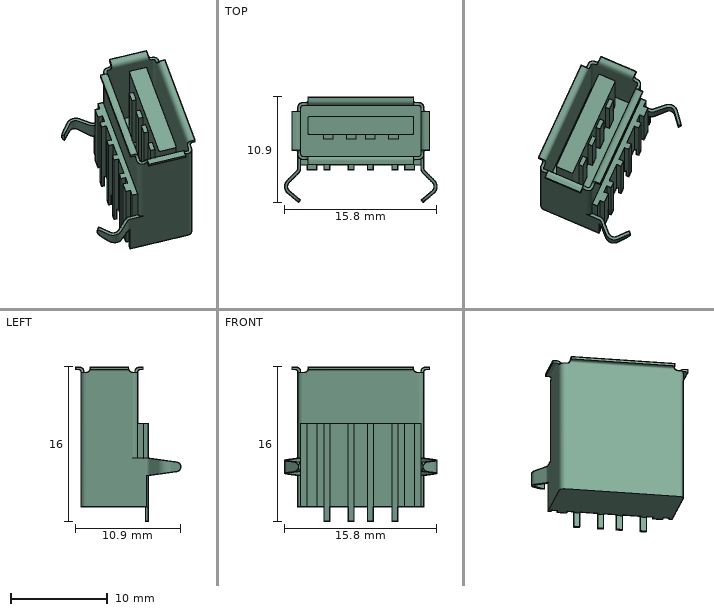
import cadquery as cq
import math


TOP_Z = 16.0
SHELL_TOP_Z = 15.45
BOTTOM_Z = 1.5
FRONT_WALL_END_Z = 6.58
INSULATOR_TOP_Z = 10.16
FLOOR_Z = FRONT_WALL_END_Z
TONGUE_TOP_Z = SHELL_TOP_Z
CONTACT_TOP_Z = 13.84

SHELL_X = 13.09
SHELL_Y = 5.9
SHEET = 0.32
CORNER_R = 0.55
SIDE_FRONT_Y = -3.85

LIP_FRONT_WIDTH = 10.91
LIP_SIDE_WIDTH = 4.0
LIP_FRONT_REACH = 0.55
LIP_SIDE_REACH = 0.6
LIP_BEND_R = 0.48
LIP_SHEET = 0.27
LIP_ROOT_R = 0.42

INSULATOR_FRONT_Y = -3.54
RIB_FRONT_Y = -4.03
PAD_INNER_X = 4.55
PAD_OUTER_X = 5.57

TONGUE_X = 10.91
TONGUE_BACK_Y = 1.49
TONGUE_FRONT_Y = -0.38
TONGUE_EDGE_R = 0.13
CONTACT_XS = (-3.4, -1.0, 1.0, 3.4)
CONTACT_WIDTH = 1.0
CONTACT_DEPTH = 0.46
PIN_XS = (-3.52, -1.0, 1.0, 3.52)
PIN_WIDTH = 0.62
PIN_DEPTH = 0.3

HOOK_Z = 5.66
HOOK_ROOT_HALF = FRONT_WALL_END_Z - HOOK_Z
HOOK_TIP_HALF = 0.51
HOOK_BEND_Y = -4.03
HOOK_TIP_Y = -7.4
HOOK_KNEE_X = 7.9
HOOK_KNEE_R = 0.91
HOOK_ROOT_R = 0.42
HOOK_LEAN = math.radians(45)
HOOK_TAIL_ANGLE = math.radians(40)

INNER_X = SHELL_X - 2 * SHEET
INNER_Y = SHELL_Y - 2 * SHEET
INNER_R = CORNER_R - SHEET


def block(x0, x1, y0, y1, z0, z1):
    """Box between two opposite corners."""
    return cq.Workplane("XY").box(x1 - x0, y1 - y0, z1 - z0, centered=False).translate((x0, y0, z0))


def rounded_column(size_x, size_y, radius, z0, z1):
    """Centred upright column with rounded corners."""
    column = cq.Workplane("XY").workplane(offset=z0).rect(size_x, size_y).extrude(z1 - z0)
    return column.edges("|Z").fillet(radius)


def make_shell():
    """Rounded tube whose lower part has an open front and straight side walls."""
    tube = rounded_column(SHELL_X, SHELL_Y, CORNER_R, BOTTOM_Z, SHELL_TOP_Z)
    lower_front = block(-SHELL_X / 2, SHELL_X / 2, -SHELL_Y / 2, 0, BOTTOM_Z, FRONT_WALL_END_Z)
    shell = tube.cut(lower_front)
    shell = shell.cut(rounded_column(INNER_X, INNER_Y, INNER_R, BOTTOM_Z, SHELL_TOP_Z))
    for x0 in (-SHELL_X / 2, INNER_X / 2):
        shell = shell.union(block(x0, x0 + SHEET, SIDE_FRONT_Y, 0, BOTTOM_Z, FRONT_WALL_END_Z))
    return shell


def make_lip(wall, reach, width):
    """Lip flared towards -Y from a wall whose outer face is at y = -wall."""
    inner = -(wall - SHEET)
    outer_r = LIP_BEND_R - LIP_SHEET
    root_z = TOP_Z - LIP_BEND_R
    diagonal = math.sqrt(0.5)
    centre_y = inner - LIP_BEND_R
    outer_centre_y = -wall - outer_r
    lip = (
        cq.Workplane("YZ")
        .moveTo(inner, SHELL_TOP_Z)
        .lineTo(inner, root_z)
        .threePointArc(
            (centre_y + LIP_BEND_R * diagonal, root_z + LIP_BEND_R * diagonal),
            (centre_y, TOP_Z),
        )
        .lineTo(-wall - reach, TOP_Z)
        .lineTo(-wall - reach, TOP_Z - LIP_SHEET)
        .lineTo(outer_centre_y, TOP_Z - LIP_SHEET)
        .threePointArc(
            (outer_centre_y + outer_r * diagonal, root_z + outer_r * diagonal),
            (-wall, root_z),
        )
        .lineTo(-wall, SHELL_TOP_Z)
        .close()
        .extrude(width / 2 + LIP_ROOT_R, both=True)
    )
    root_top_z = SHELL_TOP_Z + LIP_ROOT_R
    for side in (-1, 1):
        corner_x = side * (width / 2 + LIP_ROOT_R)
        notch = (
            cq.Workplane("XZ")
            .moveTo(corner_x, SHELL_TOP_Z)
            .threePointArc(
                (corner_x - side * LIP_ROOT_R * diagonal, root_top_z - LIP_ROOT_R * diagonal),
                (side * width / 2, root_top_z),
            )
            .lineTo(side * width / 2, TOP_Z)
            .lineTo(corner_x, TOP_Z)
            .close()
            .extrude(wall + reach)
        )
        lip = lip.cut(notch)
    return lip


def make_lips():
    """Four lips, one on each wall."""
    front = make_lip(SHELL_Y / 2, LIP_FRONT_REACH, LIP_FRONT_WIDTH)
    right = make_lip(SHELL_X / 2, LIP_SIDE_REACH, LIP_SIDE_WIDTH).rotate((0, 0, 0), (0, 0, 1), 90)
    return front.union(front.mirror("XZ")).union(right).union(right.mirror("YZ"))


def make_insulator():
    """Solid base inside the shell, front slab, two pads and four ribs for the pins."""
    base = rounded_column(INNER_X, INNER_Y, INNER_R, BOTTOM_Z, FLOOR_Z)
    slab_back_y = -INNER_Y / 2
    slab = block(-INNER_X / 2, INNER_X / 2, INSULATOR_FRONT_Y, slab_back_y, BOTTOM_Z, INSULATOR_TOP_Z)
    lower_fill = block(-INNER_X / 2, INNER_X / 2, slab_back_y, 0, BOTTOM_Z, FLOOR_Z)
    body = base.union(slab).union(lower_fill)
    for x0 in (-PAD_OUTER_X, PAD_INNER_X):
        x1 = x0 + PAD_OUTER_X - PAD_INNER_X
        body = body.union(block(x0, x1, RIB_FRONT_Y, INSULATOR_FRONT_Y, BOTTOM_Z, INSULATOR_TOP_Z))
    for x in PIN_XS:
        x0 = x - PIN_WIDTH / 2
        x1 = x + PIN_WIDTH / 2
        body = body.union(block(x0, x1, RIB_FRONT_Y, INSULATOR_FRONT_Y, BOTTOM_Z, INSULATOR_TOP_Z))
        body = body.union(block(x0, x1, RIB_FRONT_Y, RIB_FRONT_Y + PIN_DEPTH, 0, BOTTOM_Z))
    return body


def make_tongue():
    """Tongue standing on the floor, with the four contacts on its front face."""
    tongue = block(-TONGUE_X / 2, TONGUE_X / 2, TONGUE_FRONT_Y, TONGUE_BACK_Y, FLOOR_Z, TONGUE_TOP_Z)
    tongue = tongue.edges("|Z").fillet(TONGUE_EDGE_R)
    for x in CONTACT_XS:
        x0 = x - CONTACT_WIDTH / 2
        x1 = x + CONTACT_WIDTH / 2
        contact = block(x0, x1, TONGUE_FRONT_Y - CONTACT_DEPTH, TONGUE_FRONT_Y, FLOOR_Z, CONTACT_TOP_Z)
        tongue = tongue.union(contact)
    return tongue


def make_hook():
    """Board hook on the +X side: a bent strip that tapers to a rounded tip."""
    centre_x = HOOK_KNEE_X - HOOK_KNEE_R
    run = HOOK_KNEE_X - HOOK_KNEE_R * (1 - math.cos(HOOK_LEAN)) - SHELL_X / 2
    centre_y = HOOK_BEND_Y - run * math.tan(HOOK_LEAN) - HOOK_KNEE_R * math.sin(HOOK_LEAN)
    inner_r = HOOK_KNEE_R - SHEET

    def knee(radius, angle):
        return (centre_x + radius * math.cos(angle), centre_y + radius * math.sin(angle))

    tail_normal = HOOK_TAIL_ANGLE - math.pi / 2
    tail_x, tail_y = knee(HOOK_KNEE_R, tail_normal)
    tail = (tail_y - HOOK_TIP_Y) / math.sin(HOOK_TAIL_ANGLE)
    tip_x = tail_x - tail * math.cos(HOOK_TAIL_ANGLE)
    inner_bend_y = HOOK_BEND_Y - SHEET * math.tan(HOOK_LEAN / 2)
    plan = (
        cq.Workplane("XY")
        .moveTo(SHELL_X / 2, SIDE_FRONT_Y)
        .lineTo(SHELL_X / 2, HOOK_BEND_Y)
        .lineTo(*knee(HOOK_KNEE_R, HOOK_LEAN))
        .threePointArc(knee(HOOK_KNEE_R, 0), (tail_x, tail_y))
        .lineTo(tip_x, HOOK_TIP_Y)
        .lineTo(tip_x - SHEET * math.cos(tail_normal), HOOK_TIP_Y - SHEET * math.sin(tail_normal))
        .lineTo(*knee(inner_r, tail_normal))
        .threePointArc(knee(inner_r, 0), knee(inner_r, HOOK_LEAN))
        .lineTo(INNER_X / 2, inner_bend_y)
        .lineTo(INNER_X / 2, SIDE_FRONT_Y)
        .close()
        .extrude(TOP_Z)
    )
    outer_bend = cq.selectors.NearestToPointSelector((SHELL_X / 2, HOOK_BEND_Y, TOP_Z / 2))
    plan = plan.edges(outer_bend).fillet(HOOK_ROOT_R)
    inner_bend = cq.selectors.NearestToPointSelector((INNER_X / 2, inner_bend_y, TOP_Z / 2))
    plan = plan.edges(inner_bend).fillet(HOOK_ROOT_R + SHEET)
    round_y = HOOK_TIP_Y + HOOK_TIP_HALF
    taper = (
        cq.Workplane("YZ")
        .moveTo(SIDE_FRONT_Y, HOOK_Z + HOOK_ROOT_HALF)
        .lineTo(HOOK_BEND_Y, HOOK_Z + HOOK_ROOT_HALF)
        .lineTo(round_y, HOOK_Z + HOOK_TIP_HALF)
        .threePointArc((HOOK_TIP_Y, HOOK_Z), (round_y, HOOK_Z - HOOK_TIP_HALF))
        .lineTo(HOOK_BEND_Y, HOOK_Z - HOOK_ROOT_HALF)
        .lineTo(SIDE_FRONT_Y, HOOK_Z - HOOK_ROOT_HALF)
        .close()
        .extrude(SHELL_X)
    )
    return plan.intersect(taper)


hook = make_hook()
result = make_shell().union(make_lips()).union(make_insulator()).union(make_tongue())
result = result.union(hook).union(hook.mirror("YZ"))